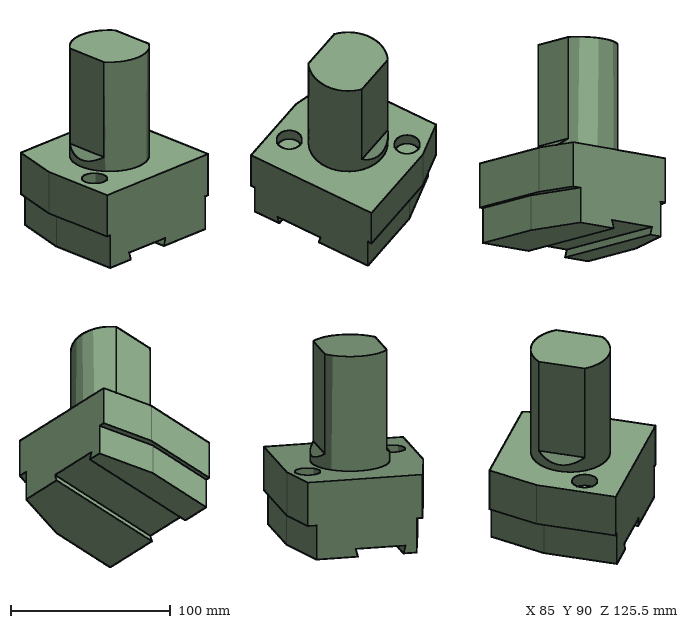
import cadquery as cq
import math

total_height = 125.5
block_length = 85.0
upper_width = 90.0
lower_inset = 2.6
lower_width = upper_width - 2 * lower_inset
lower_height = 22.3
block_height = 50.7

corner_angle = 15.0
corner_slope = math.tan(math.radians(corner_angle))
upper_back_run = 26.0
upper_front_run = 33.3
lower_run = 37.3

shaft_diameter = 50.0
flat_distance = 40.0
flat_bottom = 60.4

hole_diameter = 16.0
hole_depth = 8.0
hole_x = 18.5
hole_y = 32.0

slot_depth = 5.1
slot_mouth = 29.4
slot_center_y = -9.2
slot_wall_angle = 15.0
slot_flare = slot_depth * math.tan(math.radians(slot_wall_angle))


def sloped_plate(width, front_run, back_run, bottom, top):
    """Plate with the two corners on its -X end cut at the corner angle."""
    left = -block_length / 2
    right = block_length / 2
    front = -width / 2
    back = width / 2
    outline = [
        (left, front + front_run * corner_slope),
        (left + front_run, front),
        (right, front),
        (right, back),
        (left + back_run, back),
        (left, back - back_run * corner_slope),
    ]
    return cq.Workplane("XY").workplane(offset=bottom).polyline(outline).close().extrude(top - bottom)


def flat_cutter(side):
    """Prism that cuts one flat (side = +1 or -1 along Y) and its sloped run-out."""
    flat_y = flat_distance / 2
    reach = shaft_diameter / 2
    profile = [
        (side * flat_y, total_height),
        (side * flat_y, flat_bottom),
        (side * (flat_y + reach), flat_bottom - reach),
        (side * (flat_y + reach), total_height),
    ]
    return cq.Workplane("YZ").polyline(profile).close().extrude(reach, both=True)


def dovetail_cutter():
    """Slot that is wider at its roof than at its mouth."""
    half_mouth = slot_mouth / 2
    half_roof = half_mouth + slot_flare
    profile = [
        (slot_center_y - half_mouth, 0),
        (slot_center_y + half_mouth, 0),
        (slot_center_y + half_roof, slot_depth),
        (slot_center_y - half_roof, slot_depth),
    ]
    return cq.Workplane("YZ").polyline(profile).close().extrude(block_length, both=True)


lower_plate = sloped_plate(lower_width, lower_run, lower_run, 0, lower_height)
upper_plate = sloped_plate(upper_width, upper_front_run, upper_back_run, lower_height, block_height)
holes = (
    cq.Workplane("XY")
    .workplane(offset=block_height - hole_depth)
    .pushPoints([(-hole_x, hole_y), (hole_x, -hole_y)])
    .circle(hole_diameter / 2)
    .extrude(hole_depth)
)
block = lower_plate.union(upper_plate).cut(dovetail_cutter()).cut(holes)

shaft = (
    cq.Workplane("XY")
    .workplane(offset=block_height)
    .circle(shaft_diameter / 2)
    .extrude(total_height - block_height)
)
for side in (1, -1):
    shaft = shaft.cut(flat_cutter(side))

result = block.union(shaft)